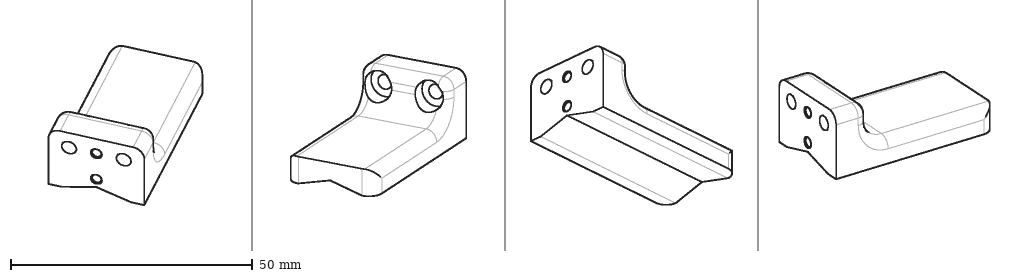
import cadquery as cq
import math

width = 21.0
length = 40
height = 15.2

base_thickness = 6
wall_thickness = 8
inner_radius = 5.0
edge_radius = inner_radius / 2
end_corner_radius = 3.0

groove_half_width = 7.6
groove_angle = 15
groove_depth = groove_half_width * math.tan(math.radians(groove_angle))

screw_spacing = 12
upper_hole_height = 11.2
screw_diameter = 3.2
screw_head_diameter = 6.5
screw_head_depth = 3.0

lower_hole_height = 4.2
pilot_diameter = 2
pilot_mouth_diameter = 2.5
pilot_depth = 6
drill_tip_angle = 118


def make_body():
    """L-shaped bracket with its exposed upper edges rounded."""
    profile = (
        cq.Workplane("YZ", origin=(-width / 2, 0, 0))
        .lineTo(length, 0)
        .lineTo(length, base_thickness)
        .lineTo(wall_thickness + inner_radius, base_thickness)
        .radiusArc((wall_thickness, base_thickness + inner_radius), inner_radius)
        .lineTo(wall_thickness, height)
        .lineTo(0, height)
        .close()
    )
    body = profile.extrude(width)
    upper_edges = (
        body.faces("<X or >X").edges("not(<Z or <Y or >Y)")
        .add(body.faces(">Z").edges(">Y"))
    )
    body = upper_edges.fillet(edge_radius)
    envelope = (
        cq.Workplane("XY")
        .box(width, length, height, centered=(True, False, False))
        .edges("|Z and >Y")
        .fillet(end_corner_radius)
    )
    return body.intersect(envelope)


def make_groove():
    """Triangular prism that cuts the V groove over the full length."""
    return (
        cq.Workplane("XZ")
        .moveTo(-groove_half_width, 0)
        .lineTo(0, groove_depth)
        .lineTo(groove_half_width, 0)
        .close()
        .extrude(-length)
    )


def cylinder_along_y(x, y, z, diameter, depth):
    return cq.Workplane("XZ", origin=(x, y, z)).circle(diameter / 2).extrude(-depth)


def make_screw_hole(x):
    """Through hole with a head recess that opens to the rear of the wall."""
    recess_floor = wall_thickness - screw_head_depth
    hole = cylinder_along_y(x, 0, upper_hole_height, screw_diameter, wall_thickness)
    recess = cylinder_along_y(
        x, recess_floor, upper_hole_height, screw_head_diameter, screw_head_depth + inner_radius
    )
    return hole.union(recess)


def make_pilot_hole(z):
    """Drilled blind hole with a chamfered mouth and a conical bottom."""
    radius = pilot_diameter / 2
    mouth_radius = pilot_mouth_diameter / 2
    tip_length = radius / math.tan(math.radians(drill_tip_angle / 2))
    return (
        cq.Workplane("XY", origin=(0, 0, z))
        .lineTo(mouth_radius, 0)
        .lineTo(radius, mouth_radius - radius)
        .lineTo(radius, pilot_depth)
        .lineTo(0, pilot_depth + tip_length)
        .close()
        .revolve(360, (0, 0, 0), (0, 1, 0))
    )


result = make_body().cut(make_groove())
for side in (-1, 1):
    result = result.cut(make_screw_hole(side * screw_spacing / 2))
for hole_height in (lower_hole_height, upper_hole_height):
    result = result.cut(make_pilot_hole(hole_height))